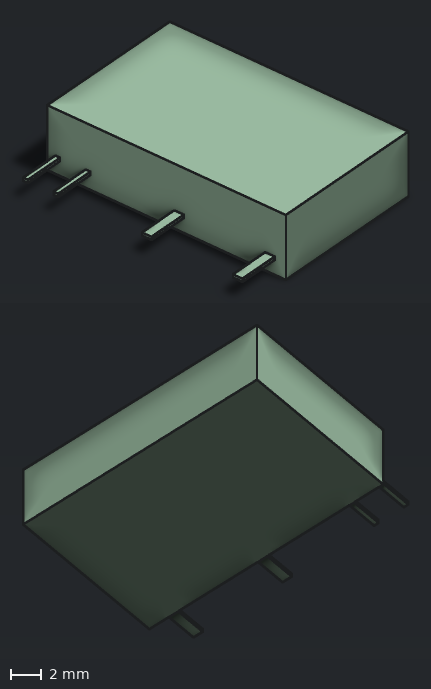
import cadquery as cq

body_length = 20.0
body_depth = 12.5
body_height = 5.08

pin_length = 3.3
pin_thickness = 0.25
pin_bottom = 1.18
narrow_pin_width = 0.4
wide_pin_width = 0.8

pins = [
    (0.9, narrow_pin_width),
    (3.45, narrow_pin_width),
    (11.05, wide_pin_width),
    (18.68, wide_pin_width),
]


def make_pin(center_x, width):
    """Straight pin that starts on the front face and points toward -Y."""
    return cq.Workplane("XY").box(
        width, pin_length, pin_thickness, centered=(True, False, False)
    ).translate((center_x, -pin_length, pin_bottom))


result = cq.Workplane("XY").box(body_length, body_depth, body_height, centered=False)
for center_x, width in pins:
    result = result.union(make_pin(center_x, width))